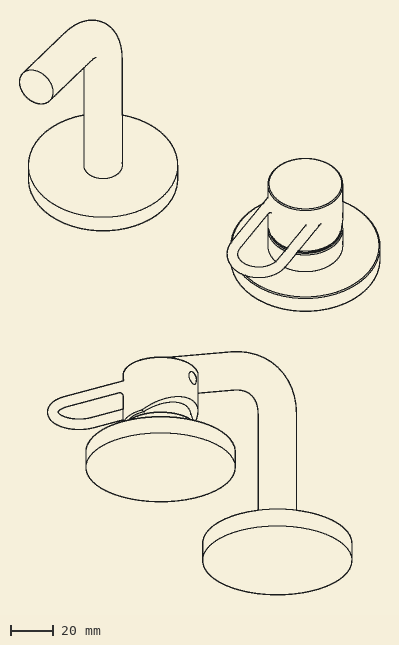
import cadquery as cq
import math

flange_diameter = 70.0
flange_radius = flange_diameter / 2
flange_thickness = 9.0
valve_x = 109.0

spout_diameter = 18.0
spout_radius = spout_diameter / 2
bend_start_height = 77.5
bend_radius = 29.2
outlet_rise_angle = 10.0
outlet_length = 39.5

flange_edge_chamfer = 0.5
collar_radius = 17.5
collar_top = 20.4
collar_edge_chamfer = 0.5
neck_bottom_radius = 16.3
neck_taper_angle = 16.0

knob_radius = 17.5
knob_bottom = 22.4
knob_rim_height = 49.4
knob_edge_chamfer = 0.5
crown_height = 0.7
underside_slant_angle = 25.0

lever_height = 40.6
lever_rod_radius = 2.5
lever_bend_radius = 12.4
lever_leg_end = 44.0
lever_blend_radius = 1.6

marker_height = 42.6
marker_radius = 4.3
marker_protrusion = 1.3

slant_top = knob_bottom + knob_radius * math.tan(math.radians(underside_slant_angle))


def bend_point(turned):
    """(y, z) of the spout centreline where it has turned through the given angle."""
    return (
        -bend_radius * (1 - math.cos(turned)),
        bend_start_height + bend_radius * math.sin(turned),
    )


def make_spout():
    """Flange and bent outlet bar, as one solid."""
    rise = math.radians(outlet_rise_angle)
    turn = math.pi / 2 - rise
    bend_middle = bend_point(turn / 2)
    bend_end = bend_point(turn)
    outlet_end = (
        bend_end[0] - outlet_length * math.cos(rise),
        bend_end[1] + outlet_length * math.sin(rise),
    )
    path = (
        cq.Workplane("YZ")
        .lineTo(0, bend_start_height)
        .threePointArc(bend_middle, bend_end)
        .lineTo(*outlet_end)
    )
    bar = cq.Workplane("XY").circle(spout_radius).sweep(path)
    flange = cq.Workplane("XY").circle(flange_radius).extrude(flange_thickness)
    return flange.union(bar)


def make_knob():
    """Knob on the Z axis, with a low conical crown and a slanted rear underside."""
    crown_radius = knob_radius - knob_edge_chamfer
    knob = (
        cq.Workplane("XZ")
        .moveTo(0, knob_bottom)
        .lineTo(knob_radius, knob_bottom)
        .lineTo(knob_radius, knob_rim_height - knob_edge_chamfer)
        .lineTo(crown_radius, knob_rim_height)
        .lineTo(0, knob_rim_height + crown_height)
        .close()
        .revolve(360, (0, 0), (0, 1))
    )
    rear_wedge = (
        cq.Workplane("YZ")
        .moveTo(0, knob_bottom)
        .lineTo(knob_radius, slant_top)
        .lineTo(knob_radius, knob_bottom)
        .close()
        .extrude(knob_radius, both=True)
    )
    return knob.cut(rear_wedge)


def make_lever():
    """U-shaped rod reaching from inside the knob out over -Y."""
    path = (
        cq.Workplane("XY", origin=(0, 0, lever_height))
        .moveTo(-lever_bend_radius, 0)
        .lineTo(-lever_bend_radius, -lever_leg_end)
        .threePointArc((0, -lever_leg_end - lever_bend_radius), (lever_bend_radius, -lever_leg_end))
        .lineTo(lever_bend_radius, 0)
    )
    start = (-lever_bend_radius, 0, lever_height)
    return cq.Workplane("XZ", origin=start).circle(lever_rod_radius).sweep(path)


def make_handle():
    """Knob, lever and rear marker, as one solid on the Z axis."""
    handle = make_knob().union(make_lever())
    seam_y = -math.sqrt(knob_radius**2 - lever_bend_radius**2)
    reach = 2 * lever_rod_radius
    for side in (-1, 1):
        seam_x = side * lever_bend_radius
        seam_region = cq.selectors.BoxSelector(
            (seam_x - reach, seam_y - reach, lever_height - reach),
            (seam_x + reach, seam_y + reach, lever_height + reach),
        )
        handle = handle.edges(seam_region).fillet(lever_blend_radius)
    marker_y = knob_radius + marker_protrusion - marker_radius
    marker = cq.Workplane("XY", origin=(0, marker_y, marker_height)).sphere(marker_radius)
    return handle.union(marker)


def chamfered_disc(radius, height, edge_chamfer):
    """Disc standing on Z = 0 with its top rim chamfered."""
    return (
        cq.Workplane("XY")
        .circle(radius)
        .extrude(height)
        .faces(">Z")
        .chamfer(edge_chamfer)
    )


def make_valve_base(handle):
    """Flange, collar and neck on the Z axis; the neck stops against the handle's underside."""
    flange = chamfered_disc(flange_radius, flange_thickness, flange_edge_chamfer)
    collar = chamfered_disc(collar_radius, collar_top, collar_edge_chamfer)
    neck = (
        cq.Workplane("XY", origin=(0, 0, collar_top))
        .circle(neck_bottom_radius)
        .extrude(slant_top - collar_top, taper=neck_taper_angle)
        .cut(handle)
    )
    return flange.union(collar).union(neck)


valve_position = (valve_x, 0, 0)

spout = make_spout()
handle = make_handle()
valve_base = make_valve_base(handle).translate(valve_position)
handle = handle.translate(valve_position)

result = cq.Compound.makeCompound([spout.val(), valve_base.val(), handle.val()])